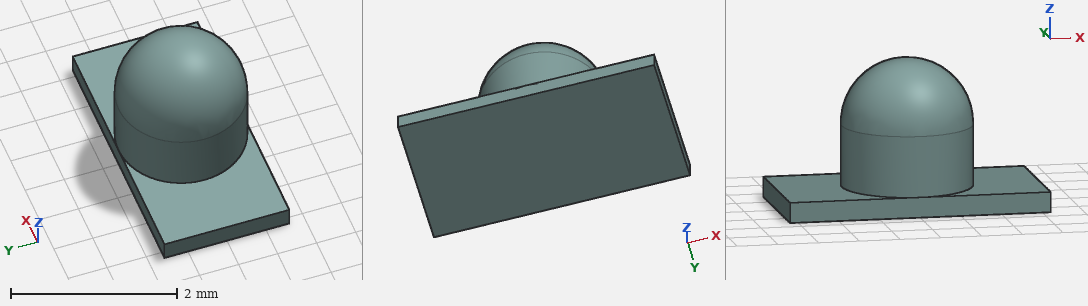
import cadquery as cq

base_length = 3.2
base_width = 1.6
base_thickness = 0.25
barrel_height = 0.75
lens_radius = base_width / 2

dome_centre_z = base_thickness + barrel_height


def make_base():
    """Rectangular plate standing on the XY plane, centred on the Z axis."""
    return cq.Workplane("XY").box(
        base_length, base_width, base_thickness, centered=(True, True, False)
    )


def make_barrel():
    """Upright cylinder on top of the base."""
    return (
        cq.Workplane("XY")
        .workplane(offset=base_thickness)
        .circle(lens_radius)
        .extrude(barrel_height)
    )


def make_dome():
    """Upper half of a sphere, closing the barrel.

    The half disc is revolved half a turn about its diameter, which lies along Y.
    """
    return (
        cq.Workplane("XY")
        .workplane(offset=dome_centre_z)
        .moveTo(0, -lens_radius)
        .threePointArc((lens_radius, 0), (0, lens_radius))
        .close()
        .revolve(180, (0, lens_radius), (0, -lens_radius))
    )


result = make_base().union(make_barrel()).union(make_dome())